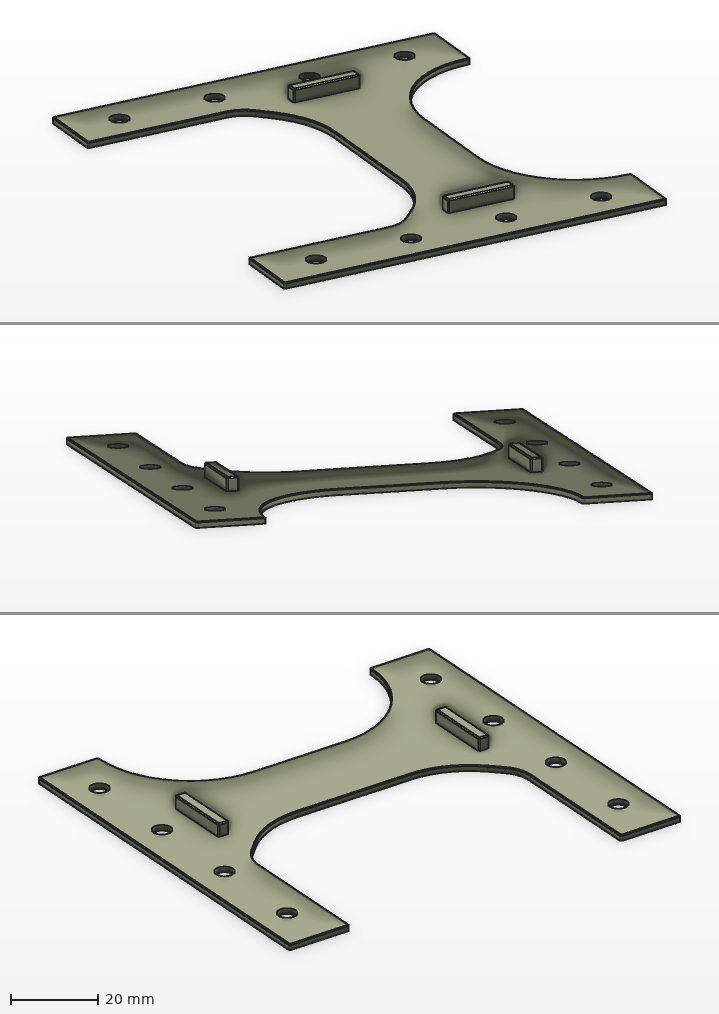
import cadquery as cq

width = 110.0
length = 100.5
plate_thickness = 1.5
total_height = 5.0
arm_width = 16.9
corner_radius = 0.5
rim_chamfer = 0.28
notch_half_width = width / 2 - arm_width

rear_notch_y = 24.2
rear_notch_radius = 25.3

front_notch_y = 2.2
bevel_size = 12.4
bridge_blend_radius = 23.5
arm_blend_radius = 8.8

hole_diameter = 4.7
hole_pitch = 25.0
holes_per_arm = 4
hole_x = 46.5
hole_row_center_y = 0.2

bar_width = 3.0
bar_length = 17.5
bar_edge_chamfer = 0.3
bar_x = notch_half_width - bar_width / 2
bar_y = front_notch_y + bar_length / 2


def make_notch_blank(depth):
    notch_width = 2 * notch_half_width
    return cq.Workplane("XY").box(notch_width, depth, plate_thickness, centered=(True, False, False))


def make_rear_notch():
    depth = length / 2 - rear_notch_y
    notch = make_notch_blank(depth)
    notch = notch.edges("|Z and <Y").fillet(rear_notch_radius)
    return notch.translate((0, rear_notch_y, 0))


def make_front_notch():
    depth = front_notch_y + length / 2
    notch = make_notch_blank(depth)
    notch = notch.edges("|Z and >Y").chamfer(bevel_size)
    notch = notch.edges("|Z and >Y").fillet(bridge_blend_radius)
    bevel_end_y = depth - bevel_size
    for side in (-1, 1):
        bevel_end_point = (side * notch_half_width, bevel_end_y, plate_thickness / 2)
        bevel_end = cq.selectors.NearestToPointSelector(bevel_end_point)
        notch = notch.edges("|Z").edges(bevel_end).fillet(arm_blend_radius)
    return notch.translate((0, -length / 2, 0))


def make_plate():
    plate = cq.Workplane("XY").box(width, length, plate_thickness, centered=(True, True, False))
    plate = plate.cut(make_rear_notch()).cut(make_front_notch())
    plate = plate.edges("|Z and (<Y or >Y)").fillet(corner_radius)
    return plate.faces(">Z").edges().chamfer(rim_chamfer)


def hole_positions():
    first_y = hole_row_center_y - hole_pitch * (holes_per_arm - 1) / 2
    return [(side * hole_x, first_y + i * hole_pitch) for side in (-1, 1) for i in range(holes_per_arm)]


def make_bar(side):
    bar = cq.Workplane("XY").box(bar_width, bar_length, total_height, centered=(True, True, False))
    bar = bar.edges("|Z or >Z").chamfer(bar_edge_chamfer)
    return bar.translate((side * bar_x, bar_y, 0))


result = make_plate()
result = result.faces(">Z").workplane(origin=(0, 0, 0)).pushPoints(hole_positions()).hole(hole_diameter)
for side in (-1, 1):
    result = result.union(make_bar(side))